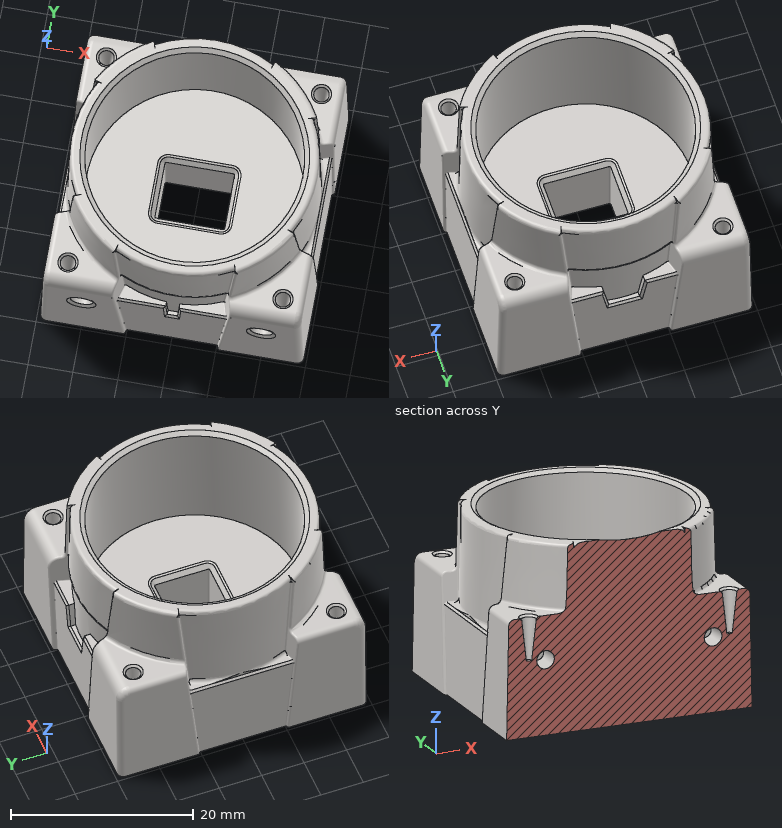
import cadquery as cq
import math

base_size = 29.35
half_base = base_size / 2
total_height = 21.8
shoulder_height = 13.9
block_lean_x = 0.26
front_edge_radius = 1.5
block_edge_radius = 0.75

collar_draft_angle = 1.0
corner_sector_top_radius = 14.15
side_sector_top_radius = 13.72
collar_rim_radius = 0.5
collar_foot_radius = 0.5

bore_radius = 12.05
bore_floor = 8.05
bore_chamfer = 0.55
bore_chamfer_depth = 0.4

recess_half_width = 5.2
recess_draft = 0.103
recess_flare = 0.3
x_panel_depth = 0.3
y_panel_depth = 0.52
ledge_height = 10.35
ledge_chamfer = 0.25
recess_inner_radius = 0.15
recess_edge_radius = 0.25
undercut_radius = 13.45
undercut_height = 14.35
undercut_bevel = 0.3
ledge_fillet = 0.5

slot_floor = 7.43
slot_headroom = 0.15
slot_flare = 0.25
front_slot_top = 1.5
front_slot_floor = 1.15
back_slot_top = 4.8
back_slot_floor = 3.55

window_size = (7.75, 6.5)
window_corner = 0.2
border_size = (8.75, 7.5)
border_corner = 0.9
border_depth = 0.5
window_rim = 0.25
window_rim_depth = 0.1

top_hole_offset = 11.97
top_hole_rim_radius = 1.1
top_hole_radius = 0.85
top_hole_end_radius = 0.3
top_hole_depth = 5.0
front_hole_offset = 10.0
front_hole_height = 8.75
front_hole_rim_radius = 1.63
front_hole_radius = 1.25
front_hole_end_radius = 0.8
front_hole_depth = 5.0
hole_rim_depth = 0.25

block_slope_x = block_lean_x / shoulder_height
collar_slope = math.tan(math.radians(collar_draft_angle))
position_tolerance = 0.02
overshoot = 1.0
wedge_top = total_height + overshoot
wedge_inner_distance = 8.0
core_top = wedge_top + overshoot


def collar_radius(top_radius, height):
    """Radius of a drafted collar surface at a given height."""
    return top_radius + (total_height - height) * collar_slope


def collar_cone(top_radius, bottom, top):
    """Drafted round body between two heights."""
    cone = cq.Solid.makeCone(
        collar_radius(top_radius, bottom),
        collar_radius(top_radius, top),
        top - bottom,
        cq.Vector(0, 0, bottom),
    )
    return cq.Workplane(obj=cone)


def block():
    """Base block with drafted X faces and rounded edges."""
    half_top = half_base - block_lean_x
    body = (
        cq.Workplane("XZ")
        .moveTo(-half_base, 0)
        .lineTo(half_base, 0)
        .lineTo(half_top, shoulder_height)
        .lineTo(-half_top, shoulder_height)
        .close()
        .extrude(half_base, both=True)
    )
    body = body.faces(">Z").edges("|X").fillet(front_edge_radius)
    return body.faces("<X or >X").edges("not <Z").fillet(block_edge_radius)


def foot_ring(top_radius, height, foot_radius):
    """Concave blend ring around a collar surface standing on a flat at a given height."""
    foot_top = height + foot_radius
    wall_radius = collar_radius(top_radius, foot_top)
    return (
        cq.Workplane("XZ")
        .moveTo(0, height)
        .lineTo(wall_radius + foot_radius, height)
        .radiusArc((wall_radius, foot_top), foot_radius)
        .lineTo(0, foot_top)
        .close()
        .revolve(360, (0, 0, 0), (0, 1, 0))
    )


def block_with_collar():
    """Block carrying the proud collar, blended where the collar meets the shoulders."""
    body = block().union(collar_cone(corner_sector_top_radius, bore_floor, total_height))
    foot_radius = collar_radius(corner_sector_top_radius, shoulder_height)

    def on_foot(edge):
        middle = edge.positionAt(0.5)
        off_foot = abs(math.hypot(middle.x, middle.y) - foot_radius)
        below_top = shoulder_height - front_edge_radius < middle.z < shoulder_height + position_tolerance
        return off_foot < position_tolerance and below_top and edge.geomType() != "LINE"

    return body.edges().filter(on_foot).fillet(collar_foot_radius)


def recess_outline(distance):
    """Corners of the recess wedge in the plane at a given distance from the axis."""
    half_bottom = recess_half_width + recess_flare * (distance - half_base)
    half_top = half_bottom + recess_draft * wedge_top
    return [(-half_bottom, 0), (half_bottom, 0), (half_top, wedge_top), (-half_top, wedge_top)]


def recess_wedge():
    """Wedge on the -Y side, widening upwards and outwards."""
    outer = half_base + overshoot
    return (
        cq.Workplane("XZ", origin=(0, -wedge_inner_distance, 0))
        .polyline(recess_outline(wedge_inner_distance))
        .close()
        .workplane(offset=outer - wedge_inner_distance)
        .polyline(recess_outline(outer))
        .close()
        .loft(ruled=True)
    )


def panel_core(depth, lean):
    """Plate behind the recessed panels of two opposite sides, chamfered along the ledge."""
    half_bottom = half_base - depth
    half_top = half_bottom - lean * ledge_height
    return (
        cq.Workplane("YZ")
        .polyline([(-half_bottom, 0), (half_bottom, 0), (half_top, ledge_height), (-half_top, ledge_height)])
        .close()
        .extrude(half_base, both=True)
        .faces(">Z")
        .edges("|X")
        .chamfer(ledge_chamfer)
    )


def round_wall_corners(recess):
    """Round the corners where the slanted walls of a recess cutter meet its back."""

    def on_wall_corner(edge):
        middle = edge.Center()
        off_centre = abs(middle.x) > recess_half_width / 2
        behind_face = middle.y > x_panel_depth / 2 - half_base
        between_ends = position_tolerance < middle.z < total_height
        return off_centre and behind_face and between_ends

    return recess.edges().filter(on_wall_corner).fillet(recess_inner_radius)


def plain_recess():
    """Cutter for a side whose collar runs straight down to the ledge."""
    ledge_width = 2 * (half_base - x_panel_depth - block_slope_x * ledge_height - ledge_chamfer)
    foot = foot_ring(side_sector_top_radius, ledge_height, ledge_fillet)
    foot = foot.intersect(cq.Workplane("XY").box(base_size, ledge_width, 2 * total_height))
    collar = collar_cone(side_sector_top_radius, 0, core_top)
    core = panel_core(x_panel_depth, block_slope_x).union(collar)
    return round_wall_corners(recess_wedge().cut(core)).cut(foot)


def undercut_recess():
    """Cutter for a side whose collar overhangs a narrower cylinder."""
    bevel = cq.Workplane(
        obj=cq.Solid.makeCone(
            undercut_radius,
            undercut_radius + undercut_bevel,
            undercut_bevel,
            cq.Vector(0, 0, undercut_height - undercut_bevel),
        )
    )
    core = (
        panel_core(y_panel_depth, 0)
        .union(cq.Workplane("XY").circle(undercut_radius).extrude(core_top))
        .union(collar_cone(side_sector_top_radius, undercut_height, core_top))
        .union(bevel)
    )
    return round_wall_corners(recess_wedge().cut(core))


def slot_outline(top_width, floor_width, growth):
    """Corners of the slot cross-section, grown on its sides and floor."""
    top = ledge_height + slot_headroom
    half_top = top_width / 2 + growth
    half_floor = floor_width / 2 + growth
    floor = slot_floor - growth
    return [(-half_floor, floor), (half_floor, floor), (half_top, top), (-half_top, top)]


def slot_cutter(top_width, floor_width):
    """Tapered slot through the -Y panel back to the undercut cylinder, with a flared mouth."""
    panel = half_base - y_panel_depth
    slot = cq.Workplane("XZ").polyline(slot_outline(top_width, floor_width, 0)).close().extrude(half_base)
    mouth = (
        cq.Workplane("XZ", origin=(0, slot_flare - panel, 0))
        .polyline(slot_outline(top_width, floor_width, 0))
        .close()
        .workplane(offset=slot_flare)
        .polyline(slot_outline(top_width, floor_width, slot_flare))
        .close()
        .loft(ruled=True)
    )
    return slot.union(mouth).cut(cq.Workplane("XY").circle(undercut_radius).extrude(total_height))


def round_recess_edges(body, direction):
    """Round the outer edges of the recess walls on the two sides facing the given direction."""

    def on_outer_edge(edge):
        middle = edge.positionAt(0.5)
        across, along = (middle.x, middle.y) if direction == "X" else (middle.y, middle.x)
        slope = block_slope_x if direction == "X" else 0
        on_face = abs(across) > half_base - slope * middle.z - position_tolerance
        upright = edge.BoundingBox().zlen > ledge_height / 2
        return on_face and upright and abs(along) < half_base / 2

    return body.edges().filter(on_outer_edge).fillet(recess_edge_radius)


def rim_cutter(top_radius):
    """Ring that rounds the outer rim of a collar surface."""
    shoulder = total_height - collar_rim_radius
    wall_radius = collar_radius(top_radius, shoulder)
    return (
        cq.Workplane("XZ")
        .moveTo(wall_radius, shoulder)
        .radiusArc((wall_radius - collar_rim_radius, total_height), -collar_rim_radius)
        .lineTo(half_base, total_height)
        .lineTo(half_base, shoulder)
        .close()
        .revolve(360, (0, 0, 0), (0, 1, 0))
    )


def turn(shape, angle):
    """Shape turned about the Z axis."""
    return shape.rotate((0, 0, 0), (0, 0, 1), angle)


def cup_cutter():
    """Bore of the cup with its chamfered mouth."""
    mouth_radius = bore_radius + bore_chamfer
    return (
        cq.Workplane("XZ")
        .moveTo(0, bore_floor)
        .lineTo(bore_radius, bore_floor)
        .lineTo(bore_radius, total_height - bore_chamfer_depth)
        .lineTo(mouth_radius, total_height)
        .lineTo(0, total_height)
        .close()
        .revolve(360, (0, 0, 0), (0, 1, 0))
    )


def rounded_rectangle(size, corner):
    """Sketch of a rectangle with rounded corners."""
    return cq.Sketch().rect(*size).vertices().fillet(corner)


def tapered_opening(bottom, bottom_size, bottom_corner, top, top_size, top_corner):
    """Loft between two rounded rectangles at two heights."""
    return (
        cq.Workplane("XY", origin=(0, 0, bottom))
        .placeSketch(
            rounded_rectangle(bottom_size, bottom_corner),
            rounded_rectangle(top_size, top_corner).moved(cq.Location(cq.Vector(0, 0, top - bottom))),
        )
        .loft()
    )


def window_cutter():
    """Straight window whose border slopes down from a shallow rim."""
    border_top = bore_floor - window_rim_depth
    border_bottom = border_top - border_depth
    rim_size = [side + 2 * window_rim for side in border_size]
    rim_corner = border_corner + window_rim
    window = cq.Workplane("XY").placeSketch(rounded_rectangle(window_size, window_corner)).extrude(border_top)
    border = tapered_opening(border_bottom, window_size, window_corner, border_top, border_size, border_corner)
    rim = tapered_opening(border_top, border_size, border_corner, bore_floor, rim_size, rim_corner)
    return window.union(border).union(rim)


def hole_cutter(rim_radius, mouth_radius, end_radius, depth):
    """Tapered blind hole with a countersunk rim, entering along -Z from the origin."""
    return (
        cq.Workplane("XZ")
        .lineTo(rim_radius, 0)
        .lineTo(mouth_radius, -hole_rim_depth)
        .lineTo(end_radius, -depth)
        .lineTo(0, -depth)
        .close()
        .revolve(360, (0, 0, 0), (0, 1, 0))
    )


def cut_recesses(body):
    """Recess all four sides and round the outer edges of the recess walls."""
    for angle in (90, 270):
        body = body.cut(turn(plain_recess(), angle))
    for angle in (0, 180):
        body = body.cut(turn(undercut_recess(), angle))
    for direction in ("X", "Y"):
        body = round_recess_edges(body, direction)
    return body


def round_rim(body):
    """Round the collar rim, first on the corner sectors and then on the side sectors."""
    body = body.cut(rim_cutter(corner_sector_top_radius))
    side_rim = rim_cutter(side_sector_top_radius).intersect(recess_wedge())
    for angle in (0, 90, 180, 270):
        body = body.cut(turn(side_rim, angle))
    return body


def cut_slots(body):
    """Cut the narrow front slot and the wide back slot."""
    body = body.cut(slot_cutter(front_slot_top, front_slot_floor))
    return body.cut(turn(slot_cutter(back_slot_top, back_slot_floor), 180))


def drill_top_holes(body):
    """One hole in each shoulder."""
    hole = hole_cutter(top_hole_rim_radius, top_hole_radius, top_hole_end_radius, top_hole_depth)
    for x in (-top_hole_offset, top_hole_offset):
        for y in (-top_hole_offset, top_hole_offset):
            body = body.cut(hole.translate((x, y, shoulder_height)))
    return body


def drill_front_holes(body):
    """Two holes in the -Y face, one on each side of the recess."""
    hole = hole_cutter(front_hole_rim_radius, front_hole_radius, front_hole_end_radius, front_hole_depth)
    hole = hole.rotate((0, 0, 0), (1, 0, 0), 90)
    for x in (-front_hole_offset, front_hole_offset):
        body = body.cut(hole.translate((x, -half_base, front_hole_height)))
    return body


body = cut_recesses(block_with_collar())
body = cut_slots(round_rim(body))
body = body.cut(cup_cutter()).cut(window_cutter())
result = drill_front_holes(drill_top_holes(body))